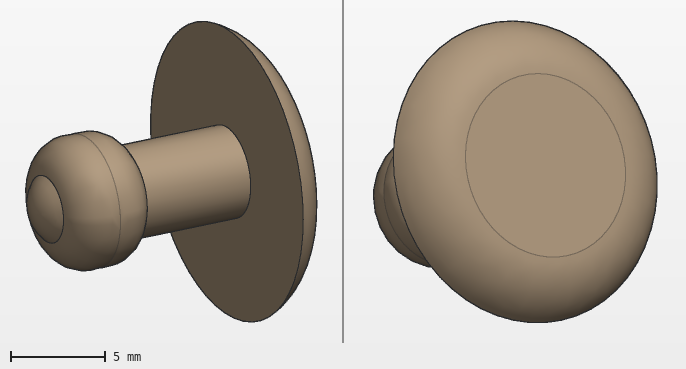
import cadquery as cq
import math

head_radius = 8.06
head_thickness = 2.13
head_crown_inset = 3.16
shaft_radius = 2.52
shaft_length = 6.29
bulb_radius = 3.65
bulb_tube_radius = 2.0
bulb_ring_offset = 0.45
tip_base_radius = 1.82
tip_height = 0.82

crown_radius = head_radius - head_crown_inset
rim_arc_radius = (head_crown_inset**2 + head_thickness**2) / (2 * head_thickness)
rim_half_angle = math.atan(head_thickness / head_crown_inset)
rim_mid = (
    crown_radius + rim_arc_radius * math.sin(rim_half_angle),
    head_thickness - rim_arc_radius * (1 - math.cos(rim_half_angle)),
)

ring_radius = bulb_radius - bulb_tube_radius


def tube_half_width(radius):
    """Axial half width of a ring section at the given distance from the axis."""
    return math.sqrt(bulb_tube_radius**2 - (radius - ring_radius)**2)


shaft_end_y = -shaft_length
upper_ring_y = shaft_end_y - tube_half_width(shaft_radius)
seam_y = upper_ring_y - bulb_ring_offset
lower_ring_y = seam_y - bulb_ring_offset
seam_radius = ring_radius + math.sqrt(bulb_tube_radius**2 - bulb_ring_offset**2)
bulb_end_y = lower_ring_y - tube_half_width(tip_base_radius)

tip_y = bulb_end_y - tip_height
tip_sphere_radius = (tip_base_radius**2 + tip_height**2) / (2 * tip_height)
tip_half_angle = math.atan(tip_height / tip_base_radius)
tip_mid = (
    tip_sphere_radius * math.sin(tip_half_angle),
    tip_y + tip_sphere_radius * (1 - math.cos(tip_half_angle)),
)

half_profile = (
    cq.Workplane("XY")
    .moveTo(0, head_thickness)
    .lineTo(crown_radius, head_thickness)
    .threePointArc(rim_mid, (head_radius, 0))
    .lineTo(shaft_radius, 0)
    .lineTo(shaft_radius, shaft_end_y)
    .threePointArc((bulb_radius, upper_ring_y), (seam_radius, seam_y))
    .threePointArc((bulb_radius, lower_ring_y), (tip_base_radius, bulb_end_y))
    .threePointArc(tip_mid, (0, tip_y))
    .close()
)
result = half_profile.revolve(360, (0, 0, 0), (0, 1, 0))